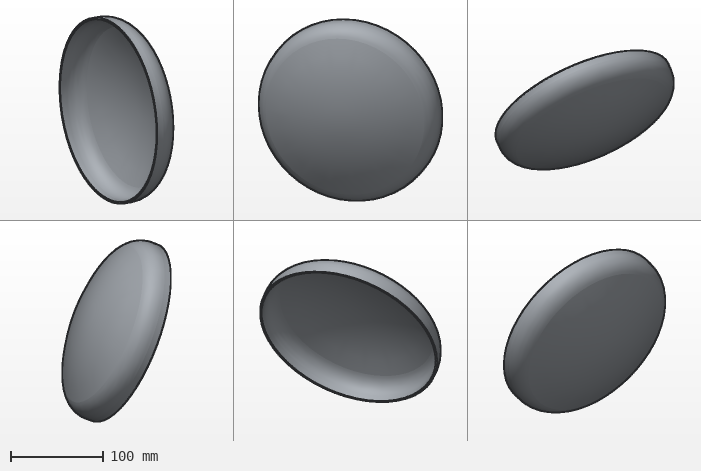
import cadquery as cq
import math

outer_diameter = 204.0
wall = 2.0
flange_length = 8.0

crown_radius = outer_diameter
knuckle_radius = outer_diameter / 10

inner_radius = outer_diameter / 2 - wall
knuckle_centre_x = inner_radius - knuckle_radius
tangent_angle = math.asin(knuckle_centre_x / (crown_radius - knuckle_radius))
crown_centre_y = flange_length - (crown_radius - knuckle_radius) * math.cos(tangent_angle)


def arc_point(centre, radius, angle):
    """Point in the XY plane at the given angle from the +Y axis."""
    return (centre[0] + radius * math.sin(angle), centre[1] + radius * math.cos(angle))


def head_solid(offset):
    """Filled head whose surface lies the given offset outside the inner wall face."""
    crown_centre = (0, crown_centre_y)
    knuckle_centre = (knuckle_centre_x, flange_length)
    crown = crown_radius + offset
    knuckle = knuckle_radius + offset
    mid_knuckle_angle = (tangent_angle + math.pi / 2) / 2

    return (
        cq.Workplane("XY")
        .lineTo(inner_radius + offset, 0)
        .lineTo(inner_radius + offset, flange_length)
        .threePointArc(
            arc_point(knuckle_centre, knuckle, mid_knuckle_angle),
            arc_point(knuckle_centre, knuckle, tangent_angle),
        )
        .threePointArc(
            arc_point(crown_centre, crown, tangent_angle / 2),
            arc_point(crown_centre, crown, 0),
        )
        .close()
        .revolve(360, (0, 0, 0), (0, 1, 0))
    )


result = head_solid(wall).cut(head_solid(0))